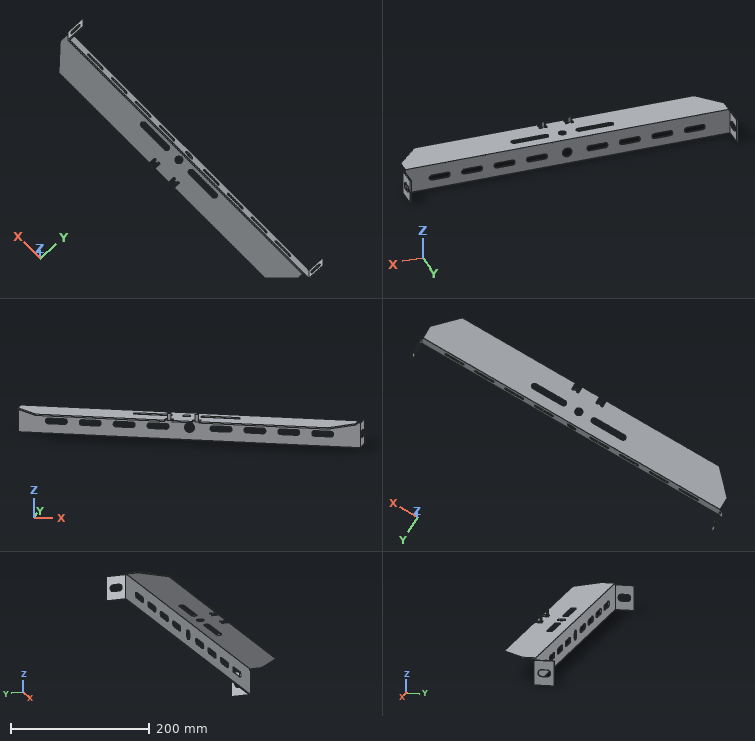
import cadquery as cq

length = 506.0
sheet = 2.0
relief = 3.0

plate_length = length - 2 * relief
plate_depth = 55.0
plate_corner_x = 34.0
plate_corner_y = 35.0

web_height = 40.0
flange_reach = 28.0

web_hole_diameter = 14.0
web_hole_drop = 22.0
web_slot_length = 32.0
slot_width = 8.0
web_slot_first = 46.5
web_slot_pitch = 50.0
web_slots_per_side = 4

plate_hole_diameter = 11.0
plate_hole_setback = 20.5
plate_slot_length = 57.0
plate_slot_offset = 50.0

flange_slot_length = 18.0
flange_slot_width = 10.0
flange_slot_y = 13.0

tab_offset = 20.0
tab_width = 5.0
tab_rise = 8.5
notch_width = 11.0
notch_depth = 10.5


def box(x_min, x_max, y_min, y_max, z_min, z_max):
    """Box between the given limits."""
    size = (x_max - x_min, y_max - y_min, z_max - z_min)
    return cq.Workplane("XY").box(*size, centered=False).translate((x_min, y_min, z_min))


def make_plate():
    """Top plate with its two front corners cut off."""
    half = plate_length / 2
    outline = [
        (-half, 0),
        (half, 0),
        (half, plate_corner_y - plate_depth),
        (half - plate_corner_x, -plate_depth),
        (plate_corner_x - half, -plate_depth),
        (-half, plate_corner_y - plate_depth),
    ]
    return cq.Workplane("XY").polyline(outline).close().extrude(-sheet)


def make_web():
    """Vertical web: full length below the relief, plate length above it."""
    half = length / 2
    lower = box(-half, half, -sheet, 0, -web_height, -relief)
    upper = box(-plate_length / 2, plate_length / 2, -sheet, 0, -relief, 0)
    return lower.union(upper)


def make_flange(side):
    """End flange folded back from one end of the web."""
    outer = side * length / 2
    inner = outer - side * sheet
    return box(min(outer, inner), max(outer, inner), -sheet, flange_reach, -web_height, -relief)


def cut_web_holes(body):
    """Central round hole with a row of slots on each side of it."""
    centres = []
    for index in range(web_slots_per_side):
        x = web_slot_first + index * web_slot_pitch
        centres += [(-x, -web_hole_drop), (x, -web_hole_drop)]
    front = cq.Workplane("XZ")
    slots = front.pushPoints(centres).slot2D(web_slot_length, slot_width).extrude(sheet)
    hole = front.center(0, -web_hole_drop).circle(web_hole_diameter / 2).extrude(sheet)
    return body.cut(slots).cut(hole)


def cut_plate_holes(body):
    """Central round hole with one long slot on each side of it."""
    centres = [(-plate_slot_offset, -plate_hole_setback), (plate_slot_offset, -plate_hole_setback)]
    top = cq.Workplane("XY")
    slots = top.pushPoints(centres).slot2D(plate_slot_length, slot_width).extrude(-sheet)
    hole = top.center(0, -plate_hole_setback).circle(plate_hole_diameter / 2).extrude(-sheet)
    return body.cut(slots).cut(hole)


def cut_flange_slots(body):
    """One slot through both end flanges, level with the web holes."""
    slot = (
        cq.Workplane("YZ")
        .center(flange_slot_y, -web_hole_drop)
        .slot2D(flange_slot_length, flange_slot_width)
        .extrude(length / 2, both=True)
    )
    return body.cut(slot)


def add_tab(body, x):
    """Notch in the front edge with a tab standing up at its closed end."""
    notch_back = notch_depth - plate_depth
    tab_front = notch_back - relief
    half_notch = notch_width / 2
    half_tab = tab_width / 2
    notch = box(x - half_notch, x + half_notch, -plate_depth, notch_back, -sheet, 0)
    root = box(x - half_tab, x + half_tab, tab_front, notch_back, -sheet, 0)
    tab = box(x - half_tab, x + half_tab, tab_front, tab_front + sheet, -sheet, tab_rise)
    return body.cut(notch).union(root).union(tab)


result = make_plate().union(make_web())
for side in (-1, 1):
    result = result.union(make_flange(side))
result = cut_web_holes(result)
result = cut_plate_holes(result)
result = cut_flange_slots(result)
for side in (-1, 1):
    result = add_tab(result, side * tab_offset)